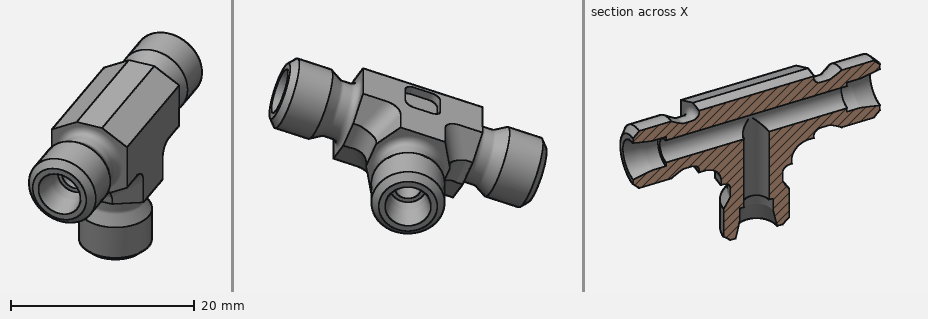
import cadquery as cq
import math

tip_reach = 15.0
body_reach = 7.0

across_flats = 9.0
truncated_height = 8.65
facet_tilt = math.radians(30)
branch_fillet = 2.0

thread_radius = 8.0 / 2
neck_radius = 6.4 / 2
tip_radius = neck_radius
tip_chamfer_length = 0.75
thread_end = 4.65
shoulder_angle = math.radians(30)
neck_fillet = 0.7
flare_size = 0.8

passage_radius = 3.0 / 2
socket_radius = 4.0 / 2
mouth_radius = 5.0 / 2
socket_depth = 4.0
cone_half_angle = math.radians(12)
cone_depth = (mouth_radius - socket_radius) / math.tan(cone_half_angle)

recess_width = 4.08
recess_corner = 1.0
recess_depth = 0.93


def make_blank():
    """Block along Y with the top flat and upper slopes of the hexagon, reaching down to the branch end."""
    half_width = across_flats / 2
    half_height = truncated_height / 2
    slope = math.tan(facet_tilt)
    side_corner = half_width * slope
    top_corner = (2 * side_corner - half_height) / slope
    outline = cq.Workplane("XZ").polyline([
        (half_width, -body_reach),
        (half_width, side_corner),
        (top_corner, half_height),
        (-top_corner, half_height),
        (-half_width, side_corner),
        (-half_width, -body_reach),
    ]).close()
    return outline.extrude(body_reach, both=True)


def make_corner_space(tilt_degrees, apothem):
    """Space outside one facet of the run and its twin on the branch, with the inner corner rounded."""
    size = 4 * body_reach
    center_distance = apothem + size / 2
    below_run = (
        cq.Workplane("XY")
        .box(size, size, size)
        .translate((0, 0, -center_distance))
        .rotate((0, 0, 0), (0, 1, 0), -tilt_degrees)
    )
    beside_branch = (
        cq.Workplane("XY")
        .box(size, size, size)
        .translate((0, -center_distance, 0))
        .rotate((0, 0, 0), (0, 0, 1), tilt_degrees)
    )
    space = below_run.intersect(beside_branch)
    return space.edges(cq.NearestToPointSelector((0, 0, 0))).fillet(branch_fillet)


def make_body():
    """Hexagonal run along Y and hexagonal branch going down, blended facet by facet."""
    body = make_blank()
    tilt = math.degrees(facet_tilt)
    facets = ((0, truncated_height / 2), (tilt, across_flats / 2), (-tilt, across_flats / 2))
    for tilt_degrees, apothem in facets:
        corner_space = make_corner_space(tilt_degrees, apothem)
        body = body.cut(corner_space).cut(corner_space.mirror("XZ"))
    return body


def make_stub():
    """Threaded stub along +Z with a waisted neck flaring into the body."""
    flare_radius = neck_radius + flare_size
    flare_end = body_reach + flare_size
    arc_offset = flare_size * (1 - math.sqrt(0.5))
    blend_center_radius = neck_radius + neck_fillet
    shoulder_start_radius = blend_center_radius - neck_fillet * math.cos(shoulder_angle)
    shoulder_length = (thread_radius - shoulder_start_radius) / math.tan(shoulder_angle)
    shoulder_start = (shoulder_start_radius, tip_reach - thread_end - shoulder_length)
    neck_end = shoulder_start[1] - neck_fillet * math.sin(shoulder_angle)
    shoulder_blend_middle = (
        blend_center_radius - neck_fillet * math.cos(shoulder_angle / 2),
        neck_end + neck_fillet * math.sin(shoulder_angle / 2),
    )
    profile = (
        cq.Workplane("XZ")
        .lineTo(0, tip_reach)
        .lineTo(tip_radius, tip_reach)
        .lineTo(thread_radius, tip_reach - tip_chamfer_length)
        .lineTo(thread_radius, tip_reach - thread_end)
        .lineTo(*shoulder_start)
        .threePointArc(shoulder_blend_middle, (neck_radius, neck_end))
        .lineTo(neck_radius, flare_end)
        .threePointArc((neck_radius + arc_offset, body_reach + arc_offset), (flare_radius, body_reach))
        .lineTo(flare_radius, 0)
        .close()
    )
    return profile.revolve(360, (0, 0), (0, 1))


def make_bore():
    """Passage, socket and sealing cone along +Z, starting at the crossing point."""
    profile = (
        cq.Workplane("XZ")
        .lineTo(passage_radius, 0)
        .lineTo(passage_radius, tip_reach - socket_depth)
        .lineTo(socket_radius, tip_reach - socket_depth)
        .lineTo(socket_radius, tip_reach - cone_depth)
        .lineTo(mouth_radius, tip_reach)
        .lineTo(0, tip_reach)
        .close()
    )
    return profile.revolve(360, (0, 0), (0, 1))


def make_recess():
    """Rounded square sunk into the -X face, centred on the origin."""
    return (
        cq.Workplane("YZ", origin=(-across_flats / 2, 0, 0))
        .rect(recess_width, recess_width)
        .extrude(recess_depth)
        .edges("|X")
        .fillet(recess_corner)
    )


port_turns = (90, -90, 180)

result = make_body()
for turn in port_turns:
    result = result.union(make_stub().rotate((0, 0, 0), (1, 0, 0), turn))
for turn in port_turns:
    result = result.cut(make_bore().rotate((0, 0, 0), (1, 0, 0), turn))
result = result.cut(make_recess())